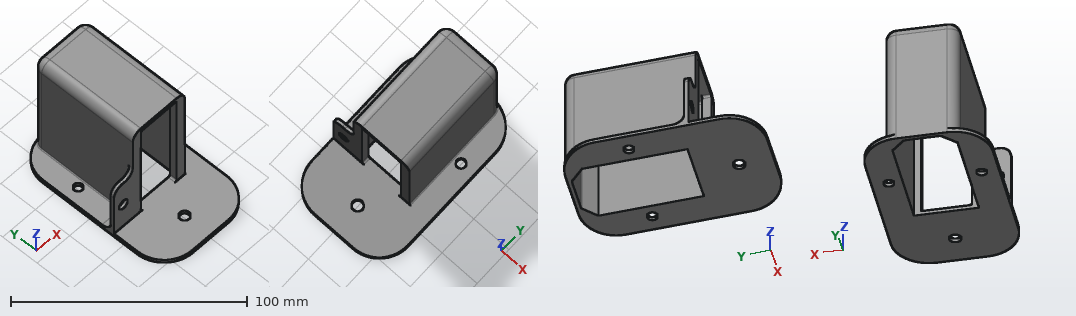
import cadquery as cq

plate_width = 55.0
plate_length = 88.0
sheet = 2.0
plate_corner_radius = 16.5
rear_margin = 10.0

housing_width = 32.0
housing_height = 60.0
housing_front = 30.0
housing_edge_radius = 5.0
foot_fillet = 0.5

lip_depth = 4.0
opening_width = 22.0
cavity_corner_chamfer = 6.0
cavity_fillet = 1.0

ear_height = 32.0
ear_edge_radius = 5.0
ear_foot_radius = 5.0
ear_hole_from_edge = 5.75
ear_hole_height = 17.0

large_hole_diameter = 5.2
small_hole_diameter = 4.5
front_hole_y = 15.0
side_hole_spacing = 40.0
side_hole_y = 58.0

plate_left = -plate_width / 2
housing_left = -housing_width / 2
housing_length = plate_length - housing_front
cavity_front = housing_front + lip_depth
cavity_width = housing_width - 2 * sheet
cavity_length = plate_length - sheet - cavity_front
cavity_top = housing_height - sheet
ear_back = housing_front + sheet
ear_root = housing_left + sheet
ear_blank_height = ear_height + 2 * ear_edge_radius


def front_block(width, front, length, bottom, top):
    """Box centred on X, given by its front face, length and height range."""
    return (
        cq.Workplane("XY")
        .box(width, length, top - bottom, centered=(True, False, False))
        .translate((0, front, bottom))
    )


def plate_column(height):
    """Rounded plate outline extruded upwards from Z = 0."""
    return front_block(plate_width, 0, plate_length, 0, height).edges("|Z").fillet(plate_corner_radius)


def make_housing():
    """Solid housing, rounded on every upright and top edge except at its front face."""
    block = front_block(housing_width, housing_front, housing_length, 0, housing_height)
    return block.edges("(|Z and >Y) or (>Z and (not <Y))").fillet(housing_edge_radius)


def make_ear_blank():
    """Rectangular ear, taller than the finished one, reaching into the housing wall."""
    return (
        cq.Workplane("XY")
        .box(ear_root - plate_left, sheet, ear_blank_height, centered=False)
        .translate((plate_left, housing_front, 0))
    )


def make_ear_trim():
    """Waste above the ear: round outer corner, then a curve sweeping up into the housing side."""
    return (
        cq.Workplane("XZ", origin=(0, ear_back + foot_fillet, 0))
        .moveTo(plate_left, ear_height - ear_edge_radius)
        .radiusArc((plate_left + ear_edge_radius, ear_height), ear_edge_radius)
        .lineTo(housing_left - ear_edge_radius, ear_height)
        .radiusArc((housing_left, ear_height + ear_edge_radius), -ear_edge_radius)
        .lineTo(housing_left, housing_height)
        .lineTo(plate_left, housing_height)
        .close()
        .extrude(sheet + foot_fillet)
    )


def make_ear_foot():
    """Concave bend between the back of the ear and the top of the plate."""
    return (
        cq.Workplane("YZ", origin=(plate_left, 0, 0))
        .moveTo(ear_back, sheet)
        .lineTo(ear_back + ear_foot_radius, sheet)
        .radiusArc((ear_back, sheet + ear_foot_radius), ear_foot_radius)
        .close()
        .extrude(ear_root - plate_left)
    )


def make_cavity():
    """Inner space with chamfered rear corners and rounded rear and top edges."""
    block = front_block(cavity_width, cavity_front, cavity_length, 0, cavity_top)
    block = block.edges("|Z and >Y").chamfer(cavity_corner_chamfer)
    block = block.faces(">Y").edges("|Z").fillet(cavity_fillet)
    return block.edges(">Z and (not <Y)").fillet(cavity_fillet)


def make_opening():
    """Front opening between the lips, down to the top of the plate."""
    opening = front_block(opening_width, housing_front, lip_depth, sheet, cavity_top)
    return opening.edges("|Y and >Z").fillet(cavity_fillet)


def round_housing_foot(body):
    """Fillet the foot of the housing from its right front corner round to the top of the ear."""
    housing_middle = (housing_front + plate_length) / 2
    right_foot = cq.selectors.NearestToPointSelector((-housing_left, housing_middle, sheet))
    return body.edges(right_foot).fillet(foot_fillet)


def round_lip_feet(body):
    """Fillet the feet of the two lips where the plate runs between them."""
    lip_middle = housing_front + lip_depth / 2
    for x in (-opening_width / 2, opening_width / 2):
        lip_foot = cq.selectors.NearestToPointSelector((x, lip_middle, sheet))
        body = body.edges(lip_foot).fillet(cavity_fillet)
    return body


def drill_plate(body, diameter, x, y):
    return body.cut(cq.Workplane("XY").center(x, y).circle(diameter / 2).extrude(sheet))


def drill_ear(body):
    hole_x = plate_left + ear_hole_from_edge
    hole = (
        cq.Workplane("XZ", origin=(hole_x, ear_back, ear_hole_height))
        .circle(large_hole_diameter / 2)
        .extrude(sheet)
    )
    return body.cut(hole)


body = front_block(plate_width, 0, plate_length + rear_margin, 0, sheet)
body = body.union(make_housing()).union(make_ear_blank()).union(make_ear_foot())
body = round_housing_foot(body)

body = body.cut(make_ear_trim()).intersect(plate_column(housing_height))

body = body.cut(make_cavity()).cut(make_opening())
body = round_lip_feet(body)

body = drill_plate(body, large_hole_diameter, 0, front_hole_y)
for side_hole_x in (-side_hole_spacing / 2, side_hole_spacing / 2):
    body = drill_plate(body, small_hole_diameter, side_hole_x, side_hole_y)
result = drill_ear(body)